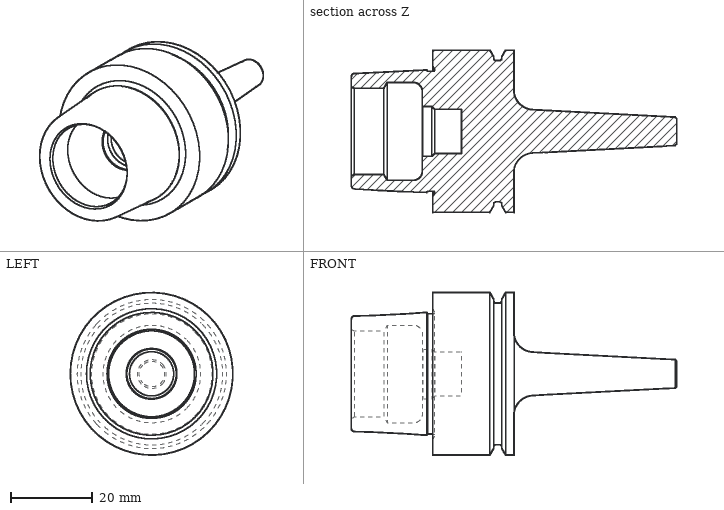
import cadquery as cq
import math


LENGTH = 80.0
FLANGE_RADIUS = 20.0
FLANGE_START = 20.0
FLANGE_END = 40.0

TAPER_SLOPE = 0.05
GAUGE_X = 16.0
GAUGE_DIAMETER = 30.0
TAPER_END = 17.9
TAPER_NOSE_ROUND = 0.8
LAND_END = 18.6

NECK_RADIUS = 14.8
NECK_STEP = 0.2
UNDERCUT_RADIUS = 16.0
UNDERCUT_TILT = math.radians(30)
UNDERCUT_ROUND = 0.3

GROOVE_CENTER = 36.0
GROOVE_TOP_WIDTH = 3.8
GROOVE_WIDTH = 1.9
GROOVE_FLOOR_RADIUS = 17.4
GROOVE_FLANK_ANGLE = math.radians(60)
GROOVE_FLOOR_ROUND = 0.5

NOSE_TIP_RADIUS = 3.5
NOSE_ANGLE = math.radians(3)
NOSE_ROOT_ROUND = 4.8
NOSE_TIP_CHAMFER = 0.4

MOUTH_RADIUS = 10.6
MOUTH_CHAMFER = 0.4
MOUTH_CHAMFER_LENGTH = 0.7
CHAMBER_START = 8.0
CHAMBER_RADIUS = 12.0
CHAMBER_SHOULDER_ANGLE = math.radians(60)
CHAMBER_FLOOR = 17.4
CHAMBER_FLOOR_ROUND = 2.2

PILOT_RADIUS = 6.1
PILOT_CHAMFER = 0.2
PILOT_DEPTH = 2.4
HOLE_RADIUS = 5.4
HOLE_DEPTH = 9.6


def revolve(profile):
    """Turn a closed (x, radius) profile about the X axis."""
    return profile.close().revolve(360, (0, 0, 0), (1, 0, 0))


def taper_radius(x):
    return GAUGE_DIAMETER / 2 + TAPER_SLOPE * (x - GAUGE_X)


def make_shank():
    """Taper with rounded open end, cylindrical land and relief neck up to the flange."""
    land_radius = taper_radius(TAPER_END)
    shank = revolve(
        cq.Workplane("XY")
        .lineTo(0, taper_radius(0))
        .lineTo(TAPER_END, land_radius)
        .lineTo(LAND_END, land_radius)
        .lineTo(LAND_END + NECK_STEP, NECK_RADIUS)
        .lineTo(FLANGE_END, NECK_RADIUS)
        .lineTo(FLANGE_END, 0)
    )
    return shank.faces("<X").edges().fillet(TAPER_NOSE_ROUND)


def make_flange():
    """Flange with a V-flanked gripper groove and a conical undercut around the neck."""
    flange = (
        cq.Workplane("YZ", origin=(FLANGE_START, 0, 0))
        .circle(FLANGE_RADIUS)
        .extrude(FLANGE_END - FLANGE_START)
    )
    return flange.cut(make_groove()).cut(make_undercut())


def make_groove():
    half_top = GROOVE_TOP_WIDTH / 2
    half_width = GROOVE_WIDTH / 2
    flank_end_radius = FLANGE_RADIUS - (half_top - half_width) * math.tan(GROOVE_FLANK_ANGLE)
    groove = revolve(
        cq.Workplane("XY")
        .moveTo(GROOVE_CENTER - half_top, FLANGE_RADIUS)
        .lineTo(GROOVE_CENTER - half_width, flank_end_radius)
        .lineTo(GROOVE_CENTER - half_width, GROOVE_FLOOR_RADIUS)
        .lineTo(GROOVE_CENTER + half_width, GROOVE_FLOOR_RADIUS)
        .lineTo(GROOVE_CENTER + half_width, flank_end_radius)
        .lineTo(GROOVE_CENTER + half_top, FLANGE_RADIUS)
    )
    floor_corners = cq.selectors.RadiusNthSelector(0)
    return groove.edges(floor_corners).fillet(GROOVE_FLOOR_ROUND)


def make_undercut():
    """Shallow ring whose tilted floor deepens inward and meets the neck in a tangent arc."""
    corner_x = FLANGE_START + (UNDERCUT_RADIUS - NECK_RADIUS) * math.tan(UNDERCUT_TILT)
    tangent_length = UNDERCUT_ROUND / math.tan((math.pi / 2 - UNDERCUT_TILT) / 2)
    arc_start = (
        corner_x - tangent_length * math.sin(UNDERCUT_TILT),
        NECK_RADIUS + tangent_length * math.cos(UNDERCUT_TILT),
    )
    arc_end = (corner_x - tangent_length, NECK_RADIUS)
    return revolve(
        cq.Workplane("XY")
        .moveTo(FLANGE_START, UNDERCUT_RADIUS)
        .lineTo(*arc_start)
        .radiusArc(arc_end, UNDERCUT_ROUND)
        .lineTo(FLANGE_START, NECK_RADIUS)
    )


def make_nose():
    """Cone running into the flange face through a tangent root arc, chamfered at the tip."""
    slope = math.tan(NOSE_ANGLE)
    arc_center_x = FLANGE_END + NOSE_ROOT_ROUND
    arc_center_radius = (
        NOSE_TIP_RADIUS + (LENGTH - arc_center_x) * slope + NOSE_ROOT_ROUND / math.cos(NOSE_ANGLE)
    )

    def on_root_arc(angle):
        return (
            arc_center_x - NOSE_ROOT_ROUND * math.sin(angle),
            arc_center_radius - NOSE_ROOT_ROUND * math.cos(angle),
        )

    nose = revolve(
        cq.Workplane("XY")
        .moveTo(FLANGE_END, 0)
        .lineTo(FLANGE_END, arc_center_radius)
        .threePointArc(on_root_arc(math.radians(45)), on_root_arc(NOSE_ANGLE))
        .lineTo(LENGTH, NOSE_TIP_RADIUS)
        .lineTo(LENGTH, 0)
    )
    return nose.faces(">X").edges().chamfer(NOSE_TIP_CHAMFER)


def make_bore():
    """Chamfered mouth opening into the wider clamping chamber, with a rounded floor."""
    shoulder_length = (CHAMBER_RADIUS - MOUTH_RADIUS) / math.tan(CHAMBER_SHOULDER_ANGLE)
    bore = revolve(
        cq.Workplane("XY")
        .lineTo(0, MOUTH_RADIUS + MOUTH_CHAMFER)
        .lineTo(MOUTH_CHAMFER_LENGTH, MOUTH_RADIUS)
        .lineTo(CHAMBER_START, MOUTH_RADIUS)
        .lineTo(CHAMBER_START + shoulder_length, CHAMBER_RADIUS)
        .lineTo(CHAMBER_FLOOR, CHAMBER_RADIUS)
        .lineTo(CHAMBER_FLOOR, 0)
    )
    return bore.faces(">X").edges().fillet(CHAMBER_FLOOR_ROUND)


def make_hole():
    """Chamfered pilot leading through a 45 degree shoulder into a blind hole."""
    pilot_end = CHAMBER_FLOOR + PILOT_DEPTH
    hole_end = CHAMBER_FLOOR + HOLE_DEPTH
    return revolve(
        cq.Workplane("XY")
        .moveTo(CHAMBER_FLOOR, 0)
        .lineTo(CHAMBER_FLOOR, PILOT_RADIUS + PILOT_CHAMFER)
        .lineTo(CHAMBER_FLOOR + PILOT_CHAMFER, PILOT_RADIUS)
        .lineTo(pilot_end, PILOT_RADIUS)
        .lineTo(pilot_end + PILOT_RADIUS - HOLE_RADIUS, HOLE_RADIUS)
        .lineTo(hole_end, HOLE_RADIUS)
        .lineTo(hole_end, 0)
    )


result = make_flange().union(make_shank()).union(make_nose()).cut(make_bore()).cut(make_hole())